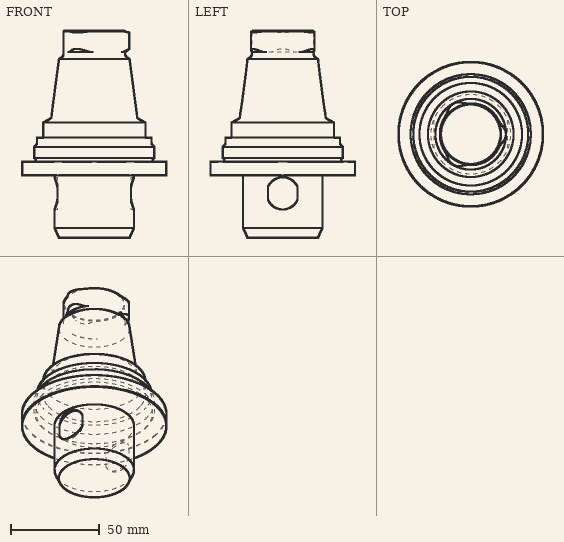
import cadquery as cq
import math

SHANK_CHAMFER_TOP = 5.5
FLANGE_BOTTOM = 35.2
FLANGE_TOP = FLANGE_BOTTOM + 8.0
COLLAR_BOTTOM = 45.05
COLLAR_TOP = 51.4
RING_TOP = 56.6
SHOULDER_TOP = 65.0
TAPER_BOTTOM = 69.3
TAPER_TOP = 101.0
OVERALL_HEIGHT = 117.0

SHANK_DIAMETER = 45.0
SHANK_TIP_DIAMETER = 40.0
FLANGE_DIAMETER = 82.0
NECK_DIAMETER = 66.1
COLLAR_DIAMETER = 68.0
RING_DIAMETER = 64.96
SHOULDER_DIAMETER = 58.0
TAPER_LARGE_DIAMETER = 48.4
TAPER_SMALL_DIAMETER = 40.0
HEAD_DIAMETER = 35.0

FLANGE_CHAMFER = 0.3
NECK_FILLET_RADIUS = 0.35

SHALLOW_CONE_ANGLE = math.radians(30)
COLLAR_TOP_CONE_ANGLE = math.radians(45)
COLLAR_BOTTOM_BLEND_RADIUS = 0.4
COLLAR_TOP_BLEND_RADIUS = 0.7
SHOULDER_BLEND_RADIUS = 1.1
NOSE_BLEND_RADIUS = 2.5

HEX_FLAT_DISTANCE = 40.8
SIDE_FLAT_DISTANCE = 40.9
HEX_FLAT_COUNT = 6

RECESS_DIAMETER = 18.2
RECESS_FLOOR_DISTANCE = 20.9
RECESS_CENTER_HEIGHT = 25.1

LOBE_COUNT = 3
LOBE_TIP_REACH = 19.85
LOBE_TIP_RADIUS = 6.55
LOBE_FLANK_RADIUS = 14.0
LOBE_UNDERSIDE_HEIGHT = 106.7
LOBE_UNDERSIDE_ANGLE = math.radians(38)
TOP_FACE_RADIUS = 16.8
TOP_EDGE_CHAMFER = 0.3
TOP_CONE_ANGLE = math.radians(15)

CUTTER_MARGIN = 1.0


def polar(radius, angle):
    return radius * math.cos(angle), radius * math.sin(angle)


def cone_and_blend(outer_radius, inner_radius, cone_angle, blend_radius):
    """Cone rising inwards from (outer_radius, 0), then a concave arc tangent to the inner cylinder.

    Returns the (radius, height) points where the arc starts, has its middle, and ends.
    """
    turn = math.pi / 2 - cone_angle
    center_r = inner_radius + blend_radius
    start_r = center_r - blend_radius * math.cos(turn)
    start_z = (outer_radius - start_r) * math.tan(cone_angle)
    end_z = start_z + blend_radius * math.sin(turn)
    middle = (
        center_r - blend_radius * math.cos(turn / 2),
        end_z - blend_radius * math.sin(turn / 2),
    )
    return (start_r, start_z), middle, (inner_radius, end_z)


def add_rising_cone(profile, base_height, outer_radius, inner_radius, cone_angle, blend_radius):
    """Continue the profile upwards and inwards over a cone and its blend."""
    points = cone_and_blend(outer_radius, inner_radius, cone_angle, blend_radius)
    start, middle, end = [(r, base_height + z) for r, z in points]
    return profile.lineTo(*start).threePointArc(middle, end)


def add_neck(profile):
    """Continue the profile from the flange top up the neck and out to the collar."""
    neck_radius = NECK_DIAMETER / 2
    collar_radius = COLLAR_DIAMETER / 2
    points = cone_and_blend(collar_radius, neck_radius, SHALLOW_CONE_ANGLE, COLLAR_BOTTOM_BLEND_RADIUS)
    cone_end, blend_middle, neck_top = [(r, COLLAR_BOTTOM - z) for r, z in points]
    fillet_offset = NECK_FILLET_RADIUS * (1 - math.sqrt(0.5))
    fillet_middle = (neck_radius + fillet_offset, FLANGE_TOP + fillet_offset)
    fillet_end = (neck_radius, FLANGE_TOP + NECK_FILLET_RADIUS)
    return (
        profile.lineTo(neck_radius + NECK_FILLET_RADIUS, FLANGE_TOP)
        .threePointArc(fillet_middle, fillet_end)
        .lineTo(*neck_top)
        .threePointArc(blend_middle, cone_end)
        .lineTo(collar_radius, COLLAR_BOTTOM)
    )


def make_body():
    """Turned body: shank, flange, collar, shoulder, tapered nose and round head."""
    shank_radius = SHANK_DIAMETER / 2
    flange_radius = FLANGE_DIAMETER / 2
    collar_radius = COLLAR_DIAMETER / 2
    ring_radius = RING_DIAMETER / 2
    shoulder_radius = SHOULDER_DIAMETER / 2
    taper_radius = TAPER_LARGE_DIAMETER / 2
    nose_radius = TAPER_SMALL_DIAMETER / 2
    head_radius = HEAD_DIAMETER / 2

    profile = (
        cq.Workplane("XZ")
        .moveTo(0, 0)
        .lineTo(SHANK_TIP_DIAMETER / 2, 0)
        .lineTo(shank_radius, SHANK_CHAMFER_TOP)
        .lineTo(shank_radius, FLANGE_BOTTOM)
        .lineTo(flange_radius - FLANGE_CHAMFER, FLANGE_BOTTOM)
        .lineTo(flange_radius, FLANGE_BOTTOM + FLANGE_CHAMFER)
        .lineTo(flange_radius, FLANGE_TOP - FLANGE_CHAMFER)
        .lineTo(flange_radius - FLANGE_CHAMFER, FLANGE_TOP)
    )
    profile = add_neck(profile)
    profile = profile.lineTo(collar_radius, COLLAR_TOP)
    profile = add_rising_cone(
        profile, COLLAR_TOP, collar_radius, ring_radius, COLLAR_TOP_CONE_ANGLE, COLLAR_TOP_BLEND_RADIUS
    )
    profile = (
        profile.lineTo(ring_radius, RING_TOP)
        .lineTo(shoulder_radius, RING_TOP)
        .lineTo(shoulder_radius, SHOULDER_TOP)
    )
    profile = add_rising_cone(
        profile, SHOULDER_TOP, shoulder_radius, taper_radius, SHALLOW_CONE_ANGLE, SHOULDER_BLEND_RADIUS
    )
    profile = profile.lineTo(taper_radius, TAPER_BOTTOM).lineTo(nose_radius, TAPER_TOP)
    profile = add_rising_cone(
        profile, TAPER_TOP, nose_radius, head_radius, SHALLOW_CONE_ANGLE, NOSE_BLEND_RADIUS
    )
    profile = profile.lineTo(head_radius, OVERALL_HEIGHT).lineTo(0, OVERALL_HEIGHT).close()
    return profile.revolve(360, (0, 0, 0), (0, 1, 0))


def make_lobe():
    """One lobe pointing along +X: a round tip with concave flanks tangent to the head."""
    head_radius = HEAD_DIAMETER / 2
    tip_center = LOBE_TIP_REACH - LOBE_TIP_RADIUS
    to_flank = head_radius + LOBE_FLANK_RADIUS
    tip_to_flank = LOBE_TIP_RADIUS + LOBE_FLANK_RADIUS
    flank_x = (to_flank**2 - tip_to_flank**2 + tip_center**2) / (2 * tip_center)
    flank_y = math.sqrt(to_flank**2 - flank_x**2)
    root_angle = math.atan2(flank_y, flank_x)
    tip_angle = math.atan2(flank_y, flank_x - tip_center)
    facing_angle = math.pi + (root_angle + tip_angle) / 2
    mid_x, mid_y = polar(LOBE_FLANK_RADIUS, facing_angle)
    flank_mid = (flank_x + mid_x, flank_y + mid_y)
    root = polar(head_radius, root_angle)
    tip_x, tip_y = polar(LOBE_TIP_RADIUS, tip_angle)
    tip_start = (tip_center + tip_x, tip_y)
    return (
        cq.Workplane("XY")
        .workplane(offset=TAPER_TOP)
        .moveTo(0, 0)
        .lineTo(root[0], -root[1])
        .threePointArc((flank_mid[0], -flank_mid[1]), (tip_start[0], -tip_start[1]))
        .threePointArc((LOBE_TIP_REACH, 0), tip_start)
        .threePointArc(flank_mid, root)
        .close()
        .extrude(OVERALL_HEIGHT - TAPER_TOP)
    )


def make_lobes():
    """Lobes around the axis, trimmed to a conical underside."""
    lobes = make_lobe()
    for index in range(1, LOBE_COUNT):
        lobes = lobes.union(make_lobe().rotate((0, 0, 0), (0, 0, 1), index * 360 / LOBE_COUNT))
    cone_bottom = LOBE_UNDERSIDE_HEIGHT - LOBE_TIP_REACH * math.tan(LOBE_UNDERSIDE_ANGLE)
    envelope = (
        cq.Workplane("XZ")
        .moveTo(0, cone_bottom)
        .lineTo(LOBE_TIP_REACH, LOBE_UNDERSIDE_HEIGHT)
        .lineTo(LOBE_TIP_REACH, OVERALL_HEIGHT)
        .lineTo(0, OVERALL_HEIGHT)
        .close()
        .revolve(360, (0, 0, 0), (0, 1, 0))
    )
    return lobes.intersect(envelope)


def make_top_cutter():
    """Ring that leaves a chamfer around the top face, and a shallow cone outside it."""
    outer_radius = LOBE_TIP_REACH + CUTTER_MARGIN
    chamfer_radius = TOP_FACE_RADIUS + TOP_EDGE_CHAMFER
    chamfer_height = OVERALL_HEIGHT - TOP_EDGE_CHAMFER
    cone_drop = (outer_radius - chamfer_radius) * math.tan(TOP_CONE_ANGLE)
    return (
        cq.Workplane("XZ")
        .moveTo(TOP_FACE_RADIUS, OVERALL_HEIGHT)
        .lineTo(outer_radius, OVERALL_HEIGHT)
        .lineTo(outer_radius, chamfer_height - cone_drop)
        .lineTo(chamfer_radius, chamfer_height)
        .close()
        .revolve(360, (0, 0, 0), (0, 1, 0))
    )


def make_flat_cutter(distance, angle):
    """Block that cuts one flat into the flange rim at an angle in degrees."""
    size = FLANGE_DIAMETER / 2
    return (
        cq.Workplane("XY")
        .box(size, size, FLANGE_TOP - FLANGE_BOTTOM, centered=(False, True, False))
        .translate((distance, 0, FLANGE_BOTTOM))
        .rotate((0, 0, 0), (0, 0, 1), angle)
    )


def make_recess_cutter(side):
    """Flat-bottomed round recess in the shank on the +X (1) or -X (-1) side."""
    return (
        cq.Workplane("YZ")
        .workplane(offset=side * RECESS_FLOOR_DISTANCE)
        .center(0, RECESS_CENTER_HEIGHT)
        .circle(RECESS_DIAMETER / 2)
        .extrude(side * SHANK_DIAMETER / 2)
    )


result = make_body().union(make_lobes()).cut(make_top_cutter())
for index in range(HEX_FLAT_COUNT):
    result = result.cut(make_flat_cutter(HEX_FLAT_DISTANCE, index * 360 / HEX_FLAT_COUNT))
for side in (1, -1):
    result = result.cut(make_flat_cutter(SIDE_FLAT_DISTANCE, side * 90))
    result = result.cut(make_recess_cutter(side))